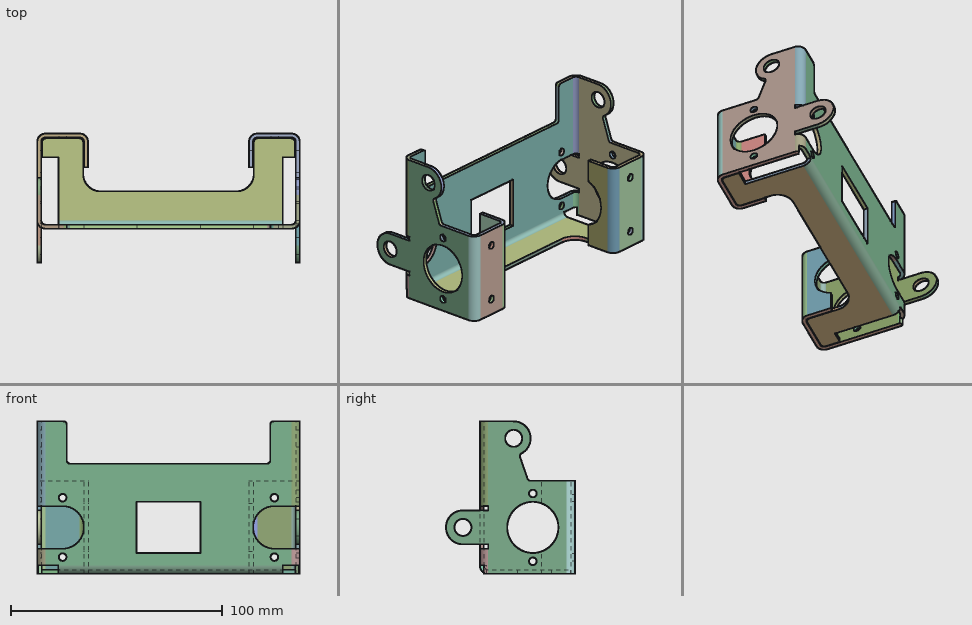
import cadquery as cq
import math

width = 124.0
depth = 45.0
height = 72.0
half_width = width / 2

sheet = 2.0
bend_inner = sheet
bend_outer = bend_inner + sheet
corner_radius = 1.5

rear_height = 44.0
rear_flange_width = 24.0
return_depth = 16.0
front_web_height = 52.1
post_width = 14.0
kept_bend_angle = math.radians(30)

axis_height = 22.0
motor_y = depth - 20.0
motor_hole_radius = 12.0
motor_screw_spacing = 16.0
screw_radius = 1.7

screw_inset = 12.0
wall_screw_spacing = 14.0
relief_radius = 10.0
window_width = 30.0
window_height = 24.0

ear_radius = 8.0
ear_hole_radius = 4.0
front_ear_y = -7.9
top_ear_y = depth - 29.0
top_ear_z = height - ear_radius
neck_foot_y = depth - 22.1

base_left_inset = 10.0
base_right_inset = 8.0
base_wide_length = 11.3
base_notch_front = depth - 27.3
base_notch_radius = 8.0
base_clearance = 0.2


def block(x_range, y_range, z_range):
    """Box between the given limits."""
    (x0, x1), (y0, y1), (z0, z1) = x_range, y_range, z_range
    return cq.Workplane("XY").box(x1 - x0, y1 - y0, z1 - z0, centered=False).translate((x0, y0, z0))


def bent_ring(x_range, tall):
    """Closed upright sheet ring, bent at four corners, spanning the full depth."""
    x0, x1 = x_range
    outer = block(x_range, (0, depth), (0, tall)).edges("|Z").fillet(bend_outer)
    inner = block((x0 + sheet, x1 - sheet), (sheet, depth - sheet), (0, tall)).edges("|Z").fillet(bend_inner)
    return outer.cut(inner)


def x_cylinder(y, z, radius):
    """Cylinder along X across the whole part."""
    return cq.Workplane("YZ", origin=(-half_width, 0, 0)).center(y, z).circle(radius).extrude(width)


def y_cylinder(x, z, radius):
    """Cylinder along Y across the walls."""
    return cq.Workplane("XZ").center(x, z).circle(radius).extrude(-depth)


def bent_walls():
    """Front wall, side walls and the two hooked rear flanges, before trimming."""
    walls = bent_ring((-half_width, half_width), height)
    flange_flat_end = half_width - rear_flange_width + bend_outer
    walls = walls.cut(block((-flange_flat_end, flange_flat_end), (depth / 2, depth), (0, height)))
    hook_zone = block((-half_width, half_width), (depth - return_depth, depth), (0, height))
    for hook_range in (
        (-half_width, rear_flange_width - half_width),
        (half_width - rear_flange_width, half_width),
    ):
        walls = walls.union(bent_ring(hook_range, height).intersect(hook_zone))
    return walls


def side_outline():
    """Side silhouette of the walls: low rear, sloped neck and rounded top ear."""
    neck_angle = math.atan2(top_ear_z - rear_height, top_ear_y - neck_foot_y)
    body = (
        cq.Workplane("YZ", origin=(-half_width, 0, 0))
        .moveTo(0, 0)
        .lineTo(depth, 0)
        .lineTo(depth, rear_height)
        .lineTo(neck_foot_y, rear_height)
        .lineTo(
            top_ear_y - ear_radius * math.cos(neck_angle),
            top_ear_z - ear_radius * math.sin(neck_angle),
        )
        .threePointArc((top_ear_y + ear_radius, top_ear_z), (top_ear_y, height))
        .lineTo(0, height)
        .close()
        .extrude(width)
    )
    neck_corners = cq.selectors.BoxSelector(
        (-width, top_ear_y, rear_height - corner_radius),
        (width, neck_foot_y + corner_radius, top_ear_z - ear_radius / 2),
    )
    return body.edges("|X").edges(neck_corners).fillet(corner_radius)


def front_top_notch():
    """Gap between the two front posts, rounded at its lower corners."""
    reach = half_width - post_width
    notch = block((-reach, reach), (0, bend_outer), (front_web_height, height))
    return notch.edges("|Y and <Z").fillet(corner_radius)


def post_top_corners():
    """Selector for the inner top corners of the two front posts."""
    reach = half_width - post_width + corner_radius
    return cq.selectors.BoxSelector(
        (-reach, 0, height - corner_radius),
        (reach, sheet, height + corner_radius),
    )


def front_foot_trim():
    """Clears the front wall below the base bend, keeping the first part of each corner bend."""
    bend_x = half_width - bend_outer
    reach = bend_outer / math.sin(kept_bend_angle)
    front_x = bend_x + reach * math.cos(kept_bend_angle)
    outline = [(-bend_x, bend_outer), (-front_x, 0), (front_x, 0), (bend_x, bend_outer)]
    return cq.Workplane("XY").polyline(outline).close().extrude(bend_outer)


def front_relief(side):
    """Round-ended opening that frees the front ear from the front wall and bend."""
    centre_x = half_width - screw_inset
    x_range = sorted((side * centre_x, side * half_width))
    z_range = (axis_height - relief_radius, axis_height + relief_radius)
    opening = block(x_range, (0, bend_outer), z_range)
    round_end = cq.Workplane("XZ").center(side * centre_x, axis_height).circle(relief_radius)
    return opening.union(round_end.extrude(-bend_outer))


def front_ear(side):
    """Side wall tongue reaching forward through the relief."""
    x_range = sorted((side * half_width, side * (half_width - sheet)))
    z_range = (axis_height - ear_radius, axis_height + ear_radius)
    tongue = block(x_range, (front_ear_y, bend_outer), z_range)
    round_end = cq.Workplane("YZ", origin=(x_range[0], 0, 0)).center(front_ear_y, axis_height)
    return tongue.union(round_end.circle(ear_radius).extrude(sheet))


def base_plate():
    """Bottom plate bent off the front wall, widened at the rear and notched between the flanges."""
    left = base_left_inset - half_width
    right = half_width - base_right_inset
    bend = (
        cq.Workplane("YZ", origin=(left, 0, 0))
        .moveTo(0, bend_outer)
        .radiusArc((bend_outer, 0), -bend_outer)
        .lineTo(bend_outer, sheet)
        .radiusArc((sheet, bend_outer), bend_inner)
        .close()
        .extrude(right - left)
    )
    rear_y = depth - sheet - base_clearance
    flat = block((left, right), (bend_outer, rear_y), (0, sheet))
    wide_reach = half_width - sheet - base_clearance
    wide = block((-wide_reach, wide_reach), (depth - base_wide_length, rear_y), (0, sheet))
    notch_reach = half_width - rear_flange_width + sheet + base_clearance
    notch = block((-notch_reach, notch_reach), (base_notch_front, depth), (0, sheet))
    notch = notch.edges("|Z and <Y").fillet(base_notch_radius)
    plate = flat.union(wide).cut(notch)
    plate = plate.edges("|Z and >Y").fillet(bend_inner)
    return plate.union(bend)


result = bent_walls().intersect(side_outline())
result = result.cut(front_top_notch())
result = result.edges("|Y").edges(post_top_corners()).fillet(corner_radius)
result = result.cut(front_foot_trim())
for side in (-1, 1):
    result = result.cut(front_relief(side)).union(front_ear(side))
result = result.union(base_plate())

result = result.cut(x_cylinder(motor_y, axis_height, motor_hole_radius))
for direction in (-1, 1):
    result = result.cut(x_cylinder(motor_y, axis_height + direction * motor_screw_spacing, screw_radius))

result = result.cut(x_cylinder(front_ear_y, axis_height, ear_hole_radius))
result = result.cut(x_cylinder(top_ear_y, top_ear_z, ear_hole_radius))

for side in (-1, 1):
    for direction in (-1, 1):
        screw_z = axis_height + direction * wall_screw_spacing
        result = result.cut(y_cylinder(side * (half_width - screw_inset), screw_z, screw_radius))

window = block(
    (-window_width / 2, window_width / 2),
    (0, sheet),
    (axis_height - window_height / 2, axis_height + window_height / 2),
)
result = result.cut(window)